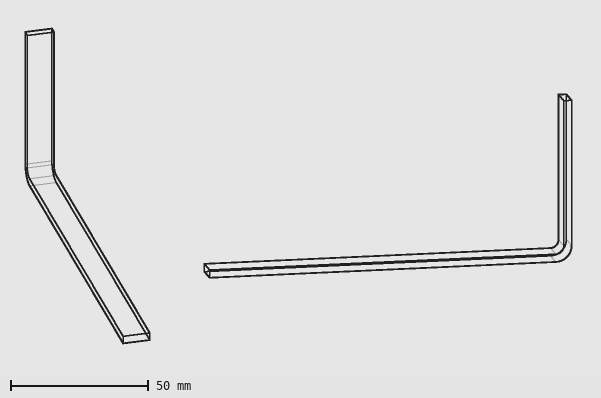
import cadquery as cq

length = 134.0
width = 10.0
height = 60.0
thickness = 3.0
inner_radius = 3.0
outer_radius = inner_radius + thickness


def bent_strip():
    """L-shaped strip with its outer bend corner at the origin of the XZ plane."""
    profile = (
        cq.Workplane("XZ")
        .moveTo(outer_radius, 0)
        .lineTo(length, 0)
        .lineTo(length, thickness)
        .lineTo(outer_radius, thickness)
        .radiusArc((thickness, outer_radius), inner_radius)
        .lineTo(thickness, height)
        .lineTo(0, height)
        .lineTo(0, outer_radius)
        .radiusArc((outer_radius, 0), -outer_radius)
        .close()
    )
    return profile.extrude(width / 2, both=True)


result = bent_strip()